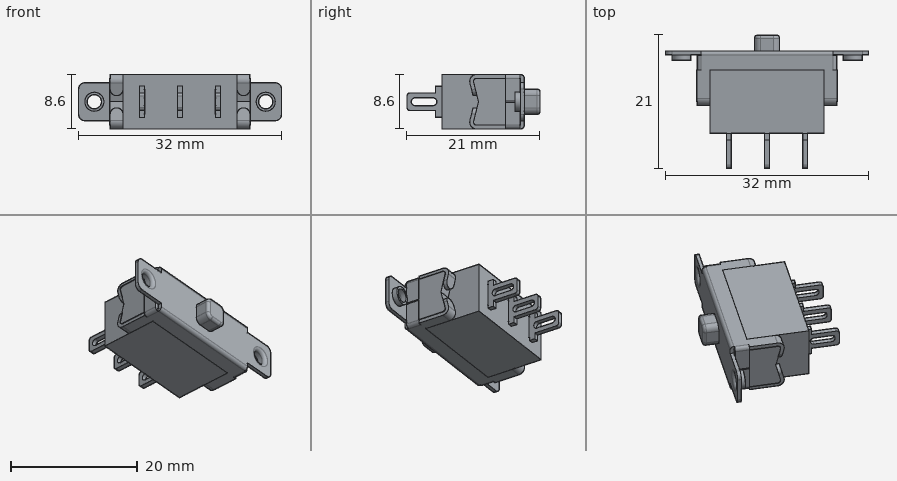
import cadquery as cq
import math


sheet = 0.6
frame_length = 22.0
frame_height = 8.6
wall_bottom = -3.0
relief_gap = 0.1
end_wall_slit = 0.2
tab_span = 32.0
tab_height = 6.0
tab_corner_radius = 1.0
eyelet_spacing = 27.0
eyelet_radius = 1.5
eyelet_hole_radius = 1.1
eyelet_depth = 0.9
eyelet_lip_radius = sheet

leg_bend_y = -7.5
leg_bend_radius = 1.1
finger_angle = math.radians(14)
finger_tip_z = 0.95

body_length = 18.0
body_bottom = -13.0
shoulder_overhang = 0.1
knob_size = 4.0
knob_corner_radius = 1.0
knob_rise = 2.5
knob_edge_radius = 0.5

terminal_pitch = 6.0
terminal_thickness = 0.8
collar_height = 4.9
collar_length = 1.0
tail_height = 2.8
tail_tip_y = -18.5
tail_corner_radius = 0.5
eye_height = 1.2
eye_length = 4.0
eye_tip_margin = 0.7
shank_height = 3.8
shank_depth = 2.0
shank_clearance = 0.1

inner_length = frame_length - 2 * sheet
inner_height = frame_height - 2 * sheet
shoulder_length = frame_length + 2 * shoulder_overhang
leg_width = (frame_length - body_length) / 2
leg_center_x = (frame_length + body_length) / 4
finger_radius = leg_width / 2
bend_center_z = frame_height / 2 - leg_bend_radius
inner_bend_radius = leg_bend_radius - sheet


def block(length, y_low, y_high, height):
    """Box centred in X and Z that spans the given Y range."""
    center = (0, (y_low + y_high) / 2, 0)
    return cq.Workplane("XY").box(length, y_high - y_low, height).translate(center)


def bend_point(radius, angle):
    """(Y, Z) point on the leg bend; angle 0 faces +Z and grows toward -Y."""
    return (leg_bend_y - radius * math.sin(angle), bend_center_z + radius * math.cos(angle))


bend_end = math.pi / 2 + finger_angle


def slant_y(radius, z):
    """Y of the slanted line that leaves a bend of this radius, at height z."""
    end_y, end_z = bend_point(radius, bend_end)
    return end_y + (end_z - z) * math.tan(finger_angle)


def knob_outline(y_low, y_high):
    """Knob prism, also used as the matching opening in the plate."""
    return block(knob_size, y_low, y_high, knob_size).edges("|Y").fillet(knob_corner_radius)


def make_channel():
    """Plate with its two long side walls."""
    channel = block(inner_length, wall_bottom, 0, frame_height)
    channel = channel.edges("|X and >Y").fillet(sheet)
    return channel.cut(block(inner_length, wall_bottom, -sheet, inner_height))


def make_end_walls():
    """Side wall ends folded around the corners, with a slit where the halves meet."""
    walls = block(frame_length, wall_bottom, -sheet - relief_gap, frame_height)
    walls = walls.edges("|Y").fillet(sheet)
    walls = walls.cut(block(inner_length, wall_bottom, 0, inner_height))
    return walls.cut(block(frame_length, wall_bottom, 0, end_wall_slit))


def make_tab_strip():
    """Plate strip that reaches out to both mounting tabs, with an eyelet on each."""
    strip = block(tab_span, -sheet, 0, tab_height).edges("|Y").fillet(tab_corner_radius)
    centers = [(-eyelet_spacing / 2, 0), (eyelet_spacing / 2, 0)]
    depth = sheet + eyelet_depth
    eyelets = cq.Workplane("XZ").pushPoints(centers).circle(eyelet_radius).extrude(depth)
    holes = cq.Workplane("XZ").pushPoints(centers).circle(eyelet_hole_radius).extrude(depth)
    strip = strip.union(eyelets).cut(holes)
    largest_arcs = cq.selectors.RadiusNthSelector(-1)
    hole_rims = strip.faces(">Y").edges("%CIRCLE").edges(largest_arcs)
    return hole_rims.fillet(eyelet_lip_radius)


def make_leg():
    """Leg at +X, +Z: runs down flat, bends inward and ends in a rounded finger."""
    profile = (
        cq.Workplane("YZ")
        .moveTo(wall_bottom, frame_height / 2)
        .lineTo(leg_bend_y, frame_height / 2)
        .threePointArc(bend_point(leg_bend_radius, bend_end / 2), bend_point(leg_bend_radius, bend_end))
        .lineTo(slant_y(leg_bend_radius, finger_tip_z), finger_tip_z)
        .lineTo(slant_y(inner_bend_radius, finger_tip_z), finger_tip_z)
        .lineTo(*bend_point(inner_bend_radius, bend_end))
        .threePointArc(bend_point(inner_bend_radius, bend_end / 2), bend_point(inner_bend_radius, 0))
        .lineTo(wall_bottom, inner_height / 2)
        .close()
    )
    leg = profile.extrude(leg_width).translate((body_length / 2, 0, 0))
    round_center_z = finger_tip_z + finger_radius
    finger_outline = (
        cq.Workplane("XZ")
        .moveTo(frame_length / 2, frame_height / 2)
        .lineTo(frame_length / 2, round_center_z)
        .threePointArc((leg_center_x, finger_tip_z), (body_length / 2, round_center_z))
        .lineTo(body_length / 2, frame_height / 2)
        .close()
        .extrude(-body_bottom)
    )
    return leg.intersect(finger_outline)


def make_frame():
    """Channel, end walls, tabs and four clinched legs in one piece of sheet metal."""
    frame = make_channel().union(make_end_walls()).union(make_tab_strip())
    upper_legs = make_leg().union(make_leg().mirror("YZ"))
    frame = frame.union(upper_legs).union(upper_legs.mirror("XY"))
    return frame.cut(knob_outline(-sheet, 0))


def make_shoulders():
    """Full-length block under the end walls with a V-notched bottom that the fingers grip."""
    upper_arc = [bend_point(inner_bend_radius, bend_end * part) for part in (0, 0.5, 1)]
    lower_arc = [(y, -z) for y, z in reversed(upper_arc)]
    profile = (
        cq.Workplane("YZ")
        .moveTo(wall_bottom, inner_height / 2)
        .lineTo(*upper_arc[0])
        .threePointArc(upper_arc[1], upper_arc[2])
        .lineTo(slant_y(inner_bend_radius, 0), 0)
        .lineTo(*lower_arc[0])
        .threePointArc(lower_arc[1], lower_arc[2])
        .lineTo(wall_bottom, -inner_height / 2)
        .close()
    )
    return profile.extrude(shoulder_length / 2, both=True)


def make_knob():
    """Knob that rises through the plate opening."""
    knob = knob_outline(-sheet, knob_rise)
    return knob.faces(">Y").edges().fillet(knob_edge_radius)


def make_shank_slot(side):
    """Slot for one shank; side is -1, 0 or 1, and outer slots are widened toward the middle."""
    slot = block(terminal_thickness, body_bottom, body_bottom + shank_depth, shank_height)
    widened = slot.union(slot.translate((-side * shank_clearance, 0, 0)))
    return widened.translate((side * terminal_pitch, 0, 0))


def make_housing():
    """Body, end shoulders and knob as one solid, with a slot for each terminal shank."""
    housing = block(body_length, body_bottom, wall_bottom, frame_height)
    housing = housing.union(make_shoulders())
    housing = housing.union(block(inner_length, wall_bottom, -sheet, inner_height))
    housing = housing.union(make_knob())
    for side in (-1, 0, 1):
        housing = housing.cut(make_shank_slot(side))
    return housing


def make_terminal(side):
    """Flat solder lug: shank in the housing, collar on its face, tail with an oblong eye."""
    shank = block(terminal_thickness, body_bottom, body_bottom + shank_depth, shank_height)
    collar = block(terminal_thickness, body_bottom - collar_length, body_bottom, collar_height)
    tail = block(terminal_thickness, tail_tip_y, body_bottom, tail_height)
    tail = tail.edges("|X and <Y").fillet(tail_corner_radius)
    eye_center_y = tail_tip_y + eye_tip_margin + eye_length / 2
    eye = (
        cq.Workplane("YZ")
        .center(eye_center_y, 0)
        .slot2D(eye_length, eye_height)
        .extrude(terminal_thickness / 2, both=True)
    )
    terminal = shank.union(collar).union(tail).cut(eye)
    return terminal.translate((side * terminal_pitch, 0, 0))


frame = make_frame()
housing = make_housing()
terminals = [make_terminal(side) for side in (-1, 0, 1)]

result = cq.Compound.makeCompound(
    [frame.val(), housing.val(), *[terminal.val() for terminal in terminals]]
)